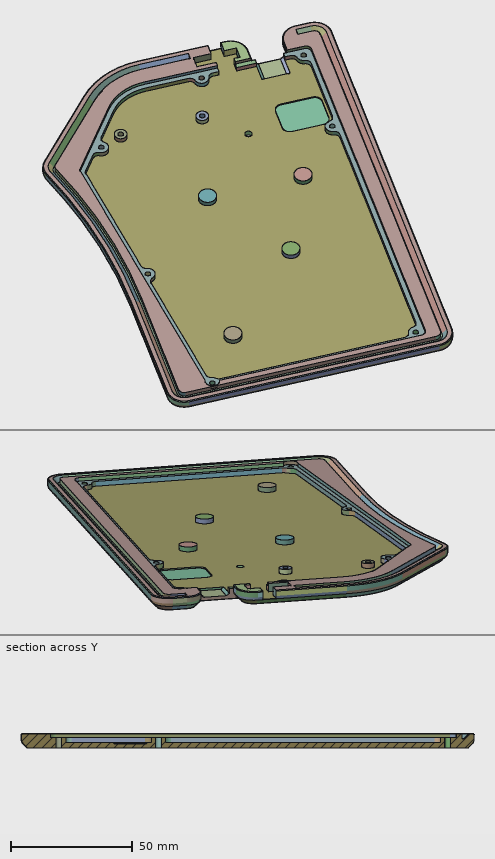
import cadquery as cq
import math

length = 187.0
depth = 136.1
height = 6.0
corner_radius = 7.5

slant_start_y = 38.5
slant_bend_radius = 35.5
sweep_end_x = 127.2
sweep_end_y = 13.3
sweep_radius = 240.5
tip_x = 45.5

notch_top_y = 115.2
notch_bottom_y = 100.0
notch_wall_x = 12.2
notch_undercut = 3.7

bevel = 2.52
bevel_break_wall = 0.85
bevel_break_slope = 0.47
top_edge_chamfer = 0.4

groove_outer_inset = 2.2
groove_inner_inset = 5.0
groove_depth = 2.0
groove_gap_top_y = 122.3
groove_gap_bottom_y = 76.0

ledge_z = 4.5
floor_z = 2.5
ledge_width = 2.0
pocket_top_y = 125.3
pocket_right_x = 179.5
pocket_right_bottom_y = 30.5
pocket_tip_x = 51.0
pocket_tip_y = 14.4
pocket_slant_start_y = 42.5
pocket_bend_radius = 22.5
pocket_corner_radius = 2.5

screw_hole_diameter = 2.2
screw_boss_radius = 3.0
boss_blend_radius = 2.5
screw_row_y = 121.5
corner_screw = (178.8, 33.1)
screw_points = [
    (15.5, screw_row_y),
    (56.7, screw_row_y),
    (176.0, screw_row_y),
    (15.5, 77.6),
    (40.4, 27.0),
    (113.1, 25.0),
    corner_screw,
]

pad_diameter = 7.5
pad_points = [(78.7, 102.3), (78.7, 61.1), (116.7, 85.6), (154.8, 49.2)]
standoff_diameter = 5.2
standoff_points = [(35.7, 71.8), (35.7, 36.7)]
vent_hole_diameter = 3.0
vent_hole_point = (49.0, 87.7)

window_x = (37.0, 53.0)
window_y = (102.1, 122.1)
window_radius = 3.2
window_depth = 0.5

connector_end_x = 21.7
connector_y = (101.7, 113.9)
connector_depth = 1.0
connector_side_slope = 1.3

chamber_x = (5.0, 10.3)
channel_parts = [
    ((-1.9, chamber_x[0]), (84.9, 90.5)),
    (chamber_x, (77.2, 95.7)),
    ((chamber_x[1], notch_wall_x + ledge_width), (85.5, 93.1)),
]


def block(x_range, y_range, z_bottom, z_top):
    """Box given by its limits along each axis."""
    size = (x_range[1] - x_range[0], y_range[1] - y_range[0], z_top - z_bottom)
    corner = (x_range[0], y_range[0], z_bottom)
    return cq.Workplane("XY").box(*size, centered=False).translate(corner)


def posts(points, diameter, z_bottom, z_top):
    """Upright cylinders at the given points."""
    plane = cq.Workplane("XY").workplane(offset=z_bottom)
    return plane.pushPoints(points).circle(diameter / 2).extrude(z_top - z_bottom)


def inset_copy(prism, inset):
    """Prism of the full height whose outline lies inside that of the given prism."""
    outline = prism.faces("<Z").wires().val().offset2D(-inset)
    return cq.Workplane("XY").newObject(outline).toPending().extrude(height)


def round_upright_edge(solid, x, y, radius):
    """Fillet the upright edge that stands nearest to (x, y)."""
    middle_z = solid.val().BoundingBox().center.z
    nearest = cq.selectors.NearestToPointSelector((x, y, middle_z))
    return solid.edges("|Z").edges(nearest).fillet(radius)


def plate_prism():
    """Full plate without the notch, as a plain prism."""
    def sweep_y(x):
        drop = sweep_radius - math.sqrt(sweep_radius ** 2 - (sweep_end_x - x) ** 2)
        return sweep_end_y - drop

    middle_x = (tip_x + sweep_end_x) / 2
    prism = (
        cq.Workplane("XY")
        .moveTo(0, depth)
        .lineTo(length, depth)
        .lineTo(length, sweep_end_y)
        .lineTo(sweep_end_x, sweep_end_y)
        .threePointArc((middle_x, sweep_y(middle_x)), (tip_x, sweep_y(tip_x)))
        .lineTo(0, slant_start_y)
        .close()
        .extrude(height)
    )
    for x, y in [(0, depth), (length, depth), (length, sweep_end_y)]:
        prism = round_upright_edge(prism, x, y, corner_radius)
    prism = round_upright_edge(prism, 0, slant_start_y, slant_bend_radius)
    return round_upright_edge(prism, tip_x, sweep_y(tip_x), corner_radius)


def bevelled_body(prism):
    """Plate with the tabs around the notch and the bevelled outer edge."""
    notch_end_x = notch_wall_x + notch_undercut
    body = prism.cut(block((-1.9, notch_end_x), (notch_bottom_y, notch_top_y), 0, height))
    for y in (notch_top_y, notch_bottom_y):
        body = round_upright_edge(body, 0, y, corner_radius)
    body = body.faces("<Z").edges().chamfer(bevel)
    ring = cq.selectors.BoxSelector(
        (-1.9, -1.9, bevel - 0.02), (length + 1.9, depth + 1.9, bevel + 0.02), boundingbox=True
    )
    body = body.edges(ring).chamfer(bevel_break_slope, bevel_break_wall)
    body = body.faces(">Z").edges().chamfer(top_edge_chamfer)
    wall_y = (notch_bottom_y - bevel, notch_top_y + bevel)
    return body.union(block((notch_wall_x, notch_end_x + bevel), wall_y, 0, height))


def groove_cutter(prism):
    """Groove with a 45 degree outer flank and an upright inner wall."""
    outer = inset_copy(prism, groove_outer_inset).faces("<Z").edges().chamfer(groove_depth)
    ring = outer.cut(inset_copy(prism, groove_inner_inset))
    ring = ring.translate((0, 0, height - groove_depth))
    gap_y = (groove_gap_bottom_y, groove_gap_top_y)
    return ring.cut(block((0, notch_wall_x), gap_y, 0, 2 * height))


def pocket_prism(inset, z_bottom):
    """Pocket outline, moved inward by inset, raised from z_bottom past the rim."""
    outline = cq.Workplane("XY").polyline([
        (notch_wall_x, pocket_top_y),
        (pocket_right_x, pocket_top_y),
        (pocket_right_x, pocket_right_bottom_y),
        (pocket_tip_x, pocket_tip_y),
        (notch_wall_x, pocket_slant_start_y),
    ]).close()
    prism = outline.extrude(height)
    prism = round_upright_edge(prism, notch_wall_x, pocket_slant_start_y, pocket_bend_radius)
    for x in (notch_wall_x, pocket_right_x):
        prism = round_upright_edge(prism, x, pocket_top_y, pocket_corner_radius)
    if inset > 0:
        prism = inset_copy(prism, inset)
    return prism.translate((0, 0, z_bottom))


def floor_cutter():
    """Deep part of the pocket, leaving blended bosses around the screws."""
    cutter = pocket_prism(ledge_width, floor_z)
    for point in screw_points:
        cutter = cutter.cut(posts([point], 2 * screw_boss_radius, 0, 2 * height))
        reach = screw_boss_radius + 0.02
        middle_z = floor_z + height / 2
        around = cq.selectors.BoxSelector(
            (point[0] - reach, point[1] - reach, middle_z - 1.9),
            (point[0] + reach, point[1] + reach, middle_z + 1.9),
        )
        cutter = cutter.edges("|Z").edges(around).fillet(boss_blend_radius)
    return cutter


def connector_cutter():
    """Opening for the connector: a gap in the ledge and a trough with sloped sides."""
    middle_y = sum(connector_y) / 2
    half_top = (connector_y[1] - connector_y[0]) / 2
    half_bottom = half_top - connector_side_slope
    trough_z = floor_z - connector_depth
    return (
        cq.Workplane("YZ")
        .polyline([
            (middle_y - half_top, height),
            (middle_y - half_top, floor_z),
            (middle_y - half_bottom, trough_z),
            (middle_y + half_bottom, trough_z),
            (middle_y + half_top, floor_z),
            (middle_y + half_top, height),
        ])
        .close()
        .extrude(connector_end_x)
    )


plate = plate_prism()
result = bevelled_body(plate)
result = result.cut(groove_cutter(plate))

result = result.cut(pocket_prism(0, ledge_z))
result = result.cut(posts([corner_screw], 2 * screw_boss_radius, ledge_z, height))
result = result.cut(floor_cutter())
result = result.cut(connector_cutter())
for x_range, y_range in channel_parts:
    result = result.cut(block(x_range, y_range, floor_z, height))

window = block(window_x, window_y, floor_z - window_depth, floor_z).edges("|Z").fillet(window_radius)
result = result.cut(window)
result = result.union(posts(pad_points, pad_diameter, floor_z, ledge_z))
result = result.union(posts(standoff_points, standoff_diameter, floor_z, ledge_z))

result = result.cut(posts(screw_points + standoff_points, screw_hole_diameter, 0, height))
result = result.cut(posts([vent_hole_point], vent_hole_diameter, 0, height))